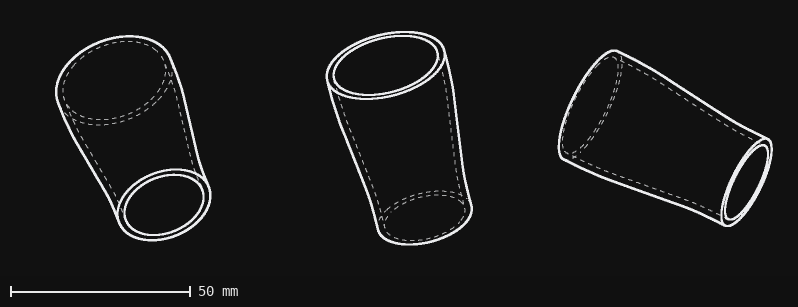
import cadquery as cq
import math

length = 51.0
large_diameter = 33.7
small_diameter = 26.9
wall = 2.0
collar_length = 5.9
bend_radius = 76.0

large_radius = large_diameter / 2
small_radius = small_diameter / 2
large_bend_x = collar_length
small_bend_x = length - collar_length

run = small_bend_x - large_bend_x
centre_rise = 2 * bend_radius - (large_radius - small_radius)
centre_distance = math.hypot(run, centre_rise)
cone_angle = math.atan2(run, centre_rise) - math.acos(2 * bend_radius / centre_distance)


def large_bend_point(angle, offset):
    """Point on the convex bend; its centre lies below the wall, so the inset shrinks it."""
    radius = bend_radius - offset
    centre_height = large_radius - bend_radius
    return (large_bend_x + radius * math.sin(angle), centre_height + radius * math.cos(angle))


def small_bend_point(angle, offset):
    """Point on the concave bend; its centre lies above the wall, so the inset enlarges it."""
    radius = bend_radius + offset
    centre_height = small_radius + bend_radius
    return (small_bend_x - radius * math.sin(angle), centre_height - radius * math.cos(angle))


def solid_reducer(offset):
    """Solid of revolution whose surface is inset from the outer one by the given offset."""
    return (
        cq.Workplane("XZ")
        .moveTo(0, 0)
        .lineTo(0, large_radius - offset)
        .lineTo(*large_bend_point(0, offset))
        .threePointArc(large_bend_point(cone_angle / 2, offset), large_bend_point(cone_angle, offset))
        .lineTo(*small_bend_point(cone_angle, offset))
        .threePointArc(small_bend_point(cone_angle / 2, offset), small_bend_point(0, offset))
        .lineTo(length, small_radius - offset)
        .lineTo(length, 0)
        .close()
        .revolve(360, (0, 0, 0), (1, 0, 0))
    )


outer_body = solid_reducer(0)
bore = solid_reducer(wall)
result = outer_body.cut(bore)